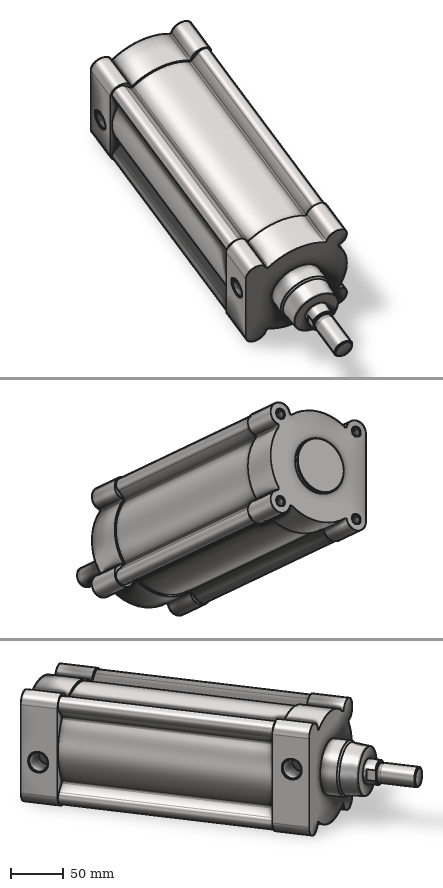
import cadquery as cq
import math

cap_length = 38.0
tube_length = 222.0
tube_start = cap_length
front_cap_start = tube_start + tube_length
front_face = front_cap_start + cap_length

cap_radius = 56.0
bolt_offset = 44.5
corner_radius = cap_radius - bolt_offset
corner_angles = (45, 135, 225, 315)
cap_fillet = 1.5

barrel_radius = 54.2
rib_radius = 8.0
rib_center_radius = 65.4
rib_fillet = 1.8

boss_length = 4.0
boss_radius = 27.5
boss_chamfer = 0.8
bolt_hole_diameter = 8.5
bolt_hole_mouth_diameter = 10.6
bolt_hole_depth = 25.0

port_diameter = 18.9
port_mouth_diameter = 21.0
port_depth = 25.0
port_inset = 18.0
port_height = 11.7

collar_shoulder_length = 17.2
collar_step_length = 2.0
collar_step_radius = 25.9
collar_end_radius = 24.4
collar_length = 38.0
collar_rim_length = 1.6
collar_rim_drop = 0.25

rod_start = front_face + collar_length
rod_radius = 12.25
rod_length = 13.0
rod_chamfer = 0.7
flat_width = 22.0
flat_inset = 3.5
thread_radius = 10.0
thread_length = 40.0
thread_chamfer = 1.0
neck_radius = 9.4
neck_length = 1.2
neck_runout = 2.5


def disc(start, length, radius):
    """Cylinder on the X axis."""
    return cq.Workplane("YZ", origin=(start, 0, 0)).circle(radius).extrude(length)


def revolved(points):
    """Solid of revolution about the X axis from (x, radius) points."""
    return cq.Workplane("XY").polyline(points).close().revolve(360, (0, 0, 0), (1, 0, 0))


def countersunk_cutter(plane, depth, diameter, mouth_diameter):
    """Blind hole with a 45 degree chamfer at its mouth, starting at the plane origin and going
    along the plane normal."""
    chamfer = (mouth_diameter - diameter) / 2
    hole = cq.Workplane(plane).circle(diameter / 2).extrude(depth)
    mouth = cq.Workplane(plane).circle(mouth_diameter / 2).extrude(chamfer, taper=45)
    return hole.union(mouth)


def round_inner_corners(body, surface_radius, fillet_radius):
    """Fillet the lengthwise edges where lobes or ribs leave the round surface."""
    def on_surface(edge):
        center = edge.Center()
        off_seam = abs(center.z) > 1
        return off_seam and math.isclose(math.hypot(center.y, center.z), surface_radius, abs_tol=0.01)

    corners = [edge for edge in body.edges("|X").vals() if on_surface(edge)]
    return body.newObject(corners).fillet(fillet_radius)


def cap_block(start):
    """Round cap with four corner lobes and a flat -Y side."""
    block = disc(start, cap_length, cap_radius)
    lobes = (
        cq.Workplane("YZ", origin=(start, 0, 0))
        .rect(2 * bolt_offset, 2 * bolt_offset, forConstruction=True)
        .vertices()
        .circle(corner_radius)
        .extrude(cap_length)
    )
    flat_side = cq.Workplane("XY").box(
        cap_length, cap_radius, 2 * bolt_offset, centered=(False, False, True)
    ).translate((start, -cap_radius, 0))
    block = block.union(lobes).union(flat_side)
    return round_inner_corners(block, cap_radius, cap_fillet)


def port_cutter(x, z):
    mouth = cq.Plane(origin=(x, -cap_radius, z), xDir=(1, 0, 0), normal=(0, 1, 0))
    return countersunk_cutter(mouth, port_depth, port_diameter, port_mouth_diameter)


def make_rear_cap():
    boss = disc(-boss_length, boss_length, boss_radius).faces("<X").chamfer(boss_chamfer)
    cap = cap_block(0).union(boss)
    for y in (-bolt_offset, bolt_offset):
        for z in (-bolt_offset, bolt_offset):
            mouth = cq.Plane(origin=(0, y, z), xDir=(0, 1, 0), normal=(1, 0, 0))
            cap = cap.cut(
                countersunk_cutter(mouth, bolt_hole_depth, bolt_hole_diameter, bolt_hole_mouth_diameter)
            )
    return cap.cut(port_cutter(port_inset, -port_height))


def make_tube():
    """Barrel with four radial ribs, each with parallel sides and a round outer end."""
    tube = disc(tube_start, tube_length, barrel_radius)
    rib = (
        cq.Workplane("YZ", origin=(tube_start, 0, 0))
        .moveTo(0, -rib_radius)
        .lineTo(rib_center_radius, -rib_radius)
        .threePointArc((rib_center_radius + rib_radius, 0), (rib_center_radius, rib_radius))
        .lineTo(0, rib_radius)
        .close()
        .extrude(tube_length)
    )
    for angle in corner_angles:
        tube = tube.union(rib.rotate((0, 0, 0), (1, 0, 0), angle))
    return round_inner_corners(tube, barrel_radius, rib_fillet)


def make_front_cap():
    shoulder_end = front_face + collar_shoulder_length
    step_end = shoulder_end + collar_step_length
    collar = revolved([
        (front_face, 0),
        (front_face, boss_radius),
        (shoulder_end, boss_radius),
        (step_end, collar_step_radius),
        (rod_start - collar_rim_length, collar_end_radius),
        (rod_start, collar_end_radius - collar_rim_drop),
        (rod_start, 0),
    ])
    cap = cap_block(front_cap_start).union(collar)
    return cap.cut(port_cutter(front_face - port_inset, port_height))


def make_rod():
    """Rod end with two wrench flats, an undercut neck and a plain thread cylinder."""
    shank_end = rod_start + rod_length
    neck_end = shank_end + neck_length
    tip = shank_end + thread_length
    rod = revolved([
        (rod_start, 0),
        (rod_start, rod_radius),
        (shank_end - rod_chamfer, rod_radius),
        (shank_end, rod_radius - rod_chamfer),
        (shank_end, neck_radius),
        (neck_end, neck_radius),
        (neck_end + neck_runout, thread_radius),
        (tip - thread_chamfer, thread_radius),
        (tip, thread_radius - thread_chamfer),
        (tip, 0),
    ])
    flat_depth = rod_radius - flat_width / 2
    flat_length = rod_length - flat_inset
    for side in (-1, 1):
        flat = cq.Workplane("XY").box(flat_length, flat_depth, 2 * rod_radius).translate((
            shank_end - flat_length / 2,
            side * (flat_width + flat_depth) / 2,
            0,
        ))
        rod = rod.cut(flat)
    return rod


rear_cap = make_rear_cap()
tube = make_tube()
front_cap = make_front_cap()
rod = make_rod()

result = cq.Compound.makeCompound([rear_cap.val(), tube.val(), front_cap.val(), rod.val()])